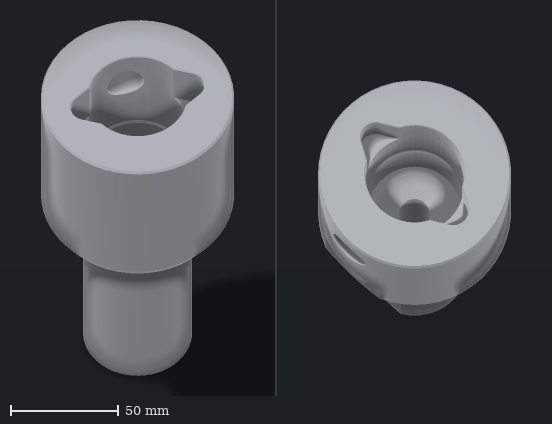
import cadquery as cq
import math

TOTAL_HEIGHT = 184.6
BODY_DIAMETER = 90.0
BODY_HEIGHT = 83.0
SHANK_DIAMETER = 50.79
SHOULDER_Z = TOTAL_HEIGHT - BODY_HEIGHT

TOP_CHAMFER = 1.0
MOUTH_CHAMFER = 0.5
BODY_BEVEL_WIDTH = 4.0
BODY_BEVEL_ANGLE = 60.0
BODY_BEVEL_HEIGHT = BODY_BEVEL_WIDTH * math.tan(math.radians(BODY_BEVEL_ANGLE))
SHANK_CHAMFER_WIDTH = 2.0
SHANK_CHAMFER_HEIGHT = 1.75

BORE_DIAMETER = 46.0
BORE_DEPTH = 50.0
LOWER_BORE_DIAMETER = 44.0
LOWER_BORE_DEPTH = 80.0
STEP_HEIGHT = (BORE_DIAMETER - LOWER_BORE_DIAMETER) / 2
CONE_DIAMETER = 36.0
CONE_HALF_ANGLE = 75.0
THROUGH_DIAMETER = 14.4

KEYWAY_REACH = 32.0
KEYWAY_TIP_RADIUS = 7.0
KEYWAY_FLANK_ANGLE = 60.0
KEYWAY_DEPTH = 22.0

BODY_FLAT_X = 41.5
BODY_FLAT_DEPTH = 55.0
SHANK_FLAT_X = 22.1
SHANK_FLAT_DEPTH = 90.0

UPPER_SCREW_DEPTH = 19.0
UPPER_SCREW_DIAMETER = 17.5
UPPER_SCREW_MOUTH_DIAMETER = 21.0
LOWER_SCREW_DEPTH = 68.25
LOWER_SCREW_DIAMETER = 17.5
LOWER_SCREW_TIP_DIAMETER = 14.4
LOWER_SCREW_LENGTH = 10.5


def revolve_profile(points):
    """Revolve a closed (radius, z) outline about the Z axis."""
    return cq.Workplane("XZ").polyline(points).close().revolve(360, (0, 0, 0), (0, 1, 0))


def make_blank():
    """Turned outside: shank, bevelled shoulder and body."""
    body_radius = BODY_DIAMETER / 2
    shank_radius = SHANK_DIAMETER / 2
    return revolve_profile([
        (0, 0),
        (shank_radius - SHANK_CHAMFER_WIDTH, 0),
        (shank_radius, SHANK_CHAMFER_HEIGHT),
        (shank_radius, SHOULDER_Z),
        (body_radius - BODY_BEVEL_WIDTH, SHOULDER_Z),
        (body_radius, SHOULDER_Z + BODY_BEVEL_HEIGHT),
        (body_radius, TOTAL_HEIGHT - TOP_CHAMFER),
        (body_radius - TOP_CHAMFER, TOTAL_HEIGHT),
        (0, TOTAL_HEIGHT),
    ])


def make_bore():
    """Stepped bore with a conical floor and a hole through the shank."""
    step_z = TOTAL_HEIGHT - BORE_DEPTH
    floor_z = TOTAL_HEIGHT - LOWER_BORE_DEPTH
    cone_height = (CONE_DIAMETER - THROUGH_DIAMETER) / 2 / math.tan(math.radians(CONE_HALF_ANGLE))
    return revolve_profile([
        (0, 0),
        (THROUGH_DIAMETER / 2, 0),
        (THROUGH_DIAMETER / 2, floor_z - cone_height),
        (CONE_DIAMETER / 2, floor_z),
        (LOWER_BORE_DIAMETER / 2, floor_z),
        (LOWER_BORE_DIAMETER / 2, step_z),
        (BORE_DIAMETER / 2, step_z + STEP_HEIGHT),
        (BORE_DIAMETER / 2, TOTAL_HEIGHT),
        (0, TOTAL_HEIGHT),
    ])


def make_keyway(side):
    """Round-tipped keyway; side is +1 for +Y and -1 for -Y."""
    flank = math.radians(KEYWAY_FLANK_ANGLE)
    tip_center_y = KEYWAY_REACH - KEYWAY_TIP_RADIUS
    tangent_x = KEYWAY_TIP_RADIUS * math.sin(flank)
    tangent_y = tip_center_y + KEYWAY_TIP_RADIUS * math.cos(flank)
    root_y = BORE_DIAMETER / 4
    root_x = tangent_x + (tangent_y - root_y) / math.tan(flank)
    return (
        cq.Workplane("XY", origin=(0, 0, TOTAL_HEIGHT - KEYWAY_DEPTH))
        .moveTo(root_x, side * root_y)
        .lineTo(tangent_x, side * tangent_y)
        .threePointArc((0, side * KEYWAY_REACH), (-tangent_x, side * tangent_y))
        .lineTo(-root_x, side * root_y)
        .close()
        .extrude(KEYWAY_DEPTH)
    )


def make_flat(flat_x, outer_radius, flat_depth, bottom_z):
    """Material beyond a -X flat that runs down to bottom_z, with a 45 degree ramp on top."""
    flat_top_z = TOTAL_HEIGHT - flat_depth
    ramp_z = flat_top_z + outer_radius - flat_x
    return (
        cq.Workplane("XZ")
        .polyline([
            (-flat_x, bottom_z),
            (-flat_x, flat_top_z),
            (-outer_radius, ramp_z),
            (-outer_radius, bottom_z),
        ])
        .close()
        .extrude(outer_radius, both=True)
    )


def make_screw_hole(depth, outline):
    """Radial hole at a depth below the top face, from (distance from Z axis, radius) points."""
    inner_x = outline[-1][0]
    outer_x = outline[0][0]
    axis_z = TOTAL_HEIGHT - depth
    points = [(-outer_x, 0)] + [(-x, radius) for x, radius in outline] + [(-inner_x, 0)]
    return (
        cq.Workplane("XZ", origin=(0, 0, axis_z))
        .polyline(points)
        .close()
        .revolve(360, (0, 0, 0), (1, 0, 0))
    )


def make_upper_screw_hole():
    """Countersunk hole whose mouth reaches full diameter below the curved body surface."""
    mouth_radius = UPPER_SCREW_MOUTH_DIAMETER / 2
    hole_radius = UPPER_SCREW_DIAMETER / 2
    body_radius = BODY_DIAMETER / 2
    mouth_x = math.sqrt(body_radius ** 2 - mouth_radius ** 2)
    return make_screw_hole(UPPER_SCREW_DEPTH, [
        (body_radius, mouth_radius),
        (mouth_x, mouth_radius),
        (mouth_x - (mouth_radius - hole_radius), hole_radius),
        (0, hole_radius),
    ])


def make_lower_screw_hole():
    """Hole in the body flat that steps down before it opens into the bore."""
    step_x = BODY_FLAT_X - LOWER_SCREW_LENGTH
    return make_screw_hole(LOWER_SCREW_DEPTH, [
        (BODY_DIAMETER / 2, LOWER_SCREW_DIAMETER / 2),
        (step_x, LOWER_SCREW_DIAMETER / 2),
        (step_x, LOWER_SCREW_TIP_DIAMETER / 2),
        (0, LOWER_SCREW_TIP_DIAMETER / 2),
    ])


def chamfer_mouth(part):
    """Break the edge where the bore and the keyways open on the top face."""
    mouth_wire = part.faces(">Z").val().innerWires()[0]
    return part.newObject(mouth_wire.Edges()).chamfer(MOUTH_CHAMFER)


result = make_blank().cut(make_bore())
for side in (1, -1):
    result = result.cut(make_keyway(side))
result = chamfer_mouth(result)
result = result.cut(make_flat(BODY_FLAT_X, BODY_DIAMETER / 2, BODY_FLAT_DEPTH, SHOULDER_Z))
result = result.cut(make_flat(SHANK_FLAT_X, SHANK_DIAMETER / 2, SHANK_FLAT_DEPTH, 0))
result = result.cut(make_upper_screw_hole())
result = result.cut(make_lower_screw_hole())